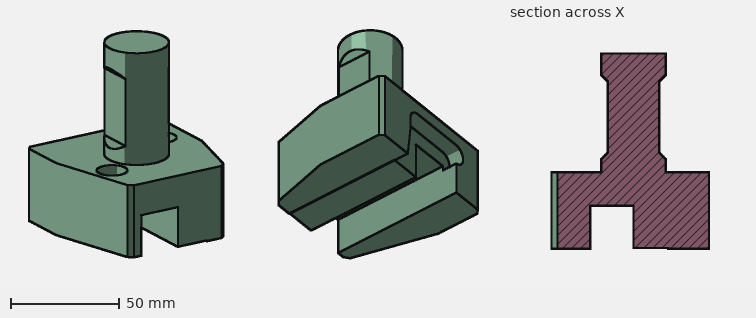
import cadquery as cq
import math

total_height = 90.5
block_height = 35.5

half_length = 35.0
back_y = 35.0
front_y = -38.0
nose_half_width = 26.0
side_taper = math.radians(15)
corner_chamfer = 2.0

stem_diameter = 30.0
flat_half_width = 12.0
flat_bottom = 44.5
flat_top = 77.5

hole_diameter = 14.2
hole_depth = 8.0
hole_circle_radius = 25.0
hole_angles = (120, 300)

channel_width = 20.0
channel_back_y = 0.0
channel_top = 20.0

recess_depth = 8.0
recess_top = 28.5
recess_back_y = 14.0
recess_front_y = -25.0
recess_radius = 5.5
recess_flare_start = 16.5
recess_flare = math.radians(7)

underside_relief = 0.4


def taper_start(side_y):
    """X where a long side at the given |Y| starts to taper towards the nose."""
    return half_length - (abs(side_y) - nose_half_width) / math.tan(side_taper)


def make_block():
    outline = [
        (-half_length, front_y),
        (taper_start(front_y), front_y),
        (half_length, -nose_half_width),
        (half_length, nose_half_width),
        (taper_start(back_y), back_y),
        (-half_length, back_y),
    ]
    block = cq.Workplane("XY").polyline(outline).close().extrude(block_height)
    end_corners = block.edges("|Z and (<X or >X)")
    return end_corners.chamfer(corner_chamfer)


def make_stem():
    stem = (
        cq.Workplane("XY", origin=(0, 0, block_height))
        .circle(stem_diameter / 2)
        .extrude(total_height - block_height)
    )
    cut_depth = stem_diameter / 2 - flat_half_width
    for side in (-1, 1):
        profile = [
            (side * flat_half_width, flat_bottom),
            (side * flat_half_width, flat_top),
            (side * (flat_half_width + cut_depth), flat_top + cut_depth),
            (side * (flat_half_width + cut_depth), flat_bottom - cut_depth),
        ]
        cutter = (
            cq.Workplane("YZ")
            .polyline(profile)
            .close()
            .extrude(stem_diameter / 2, both=True)
        )
        stem = stem.cut(cutter)
    return stem


def make_holes():
    centres = [
        (
            hole_circle_radius * math.cos(math.radians(angle)),
            hole_circle_radius * math.sin(math.radians(angle)),
        )
        for angle in hole_angles
    ]
    return (
        cq.Workplane("XY", origin=(0, 0, block_height))
        .pushPoints(centres)
        .circle(hole_diameter / 2)
        .extrude(-hole_depth)
    )


def make_channel():
    return (
        cq.Workplane("YZ", origin=(-half_length, 0, 0))
        .moveTo(channel_back_y, 0)
        .rect(-channel_width, channel_top, centered=False)
        .extrude(2 * half_length)
    )


def recess_wall_y(height):
    """Y of the leaning part of the recess back wall at a given height."""
    return recess_back_y + (recess_flare_start - height) * math.tan(recess_flare)


def make_recess():
    channel_front_y = channel_back_y - channel_width
    front_arc_y = recess_front_y + recess_radius
    back_arc_y = recess_back_y - recess_radius
    arc_z = recess_top - recess_radius
    diagonal = recess_radius * math.sqrt(0.5)
    arc_end_z = arc_z - math.sqrt(recess_radius**2 - (channel_front_y - front_arc_y) ** 2)
    return (
        cq.Workplane("YZ", origin=(-half_length, 0, 0))
        .moveTo(recess_wall_y(0), 0)
        .lineTo(recess_back_y, recess_flare_start)
        .lineTo(recess_back_y, arc_z)
        .threePointArc((back_arc_y + diagonal, arc_z + diagonal), (back_arc_y, recess_top))
        .lineTo(front_arc_y, recess_top)
        .threePointArc((recess_front_y, arc_z), (channel_front_y, arc_end_z))
        .lineTo(channel_front_y, 0)
        .close()
        .extrude(recess_depth)
    )


def make_underside_relief():
    profile = [
        (channel_back_y, 0),
        (recess_wall_y(0), 0),
        (recess_wall_y(underside_relief), underside_relief),
        (channel_back_y, underside_relief),
    ]
    return (
        cq.Workplane("YZ", origin=(-half_length, 0, 0))
        .polyline(profile)
        .close()
        .extrude(2 * half_length)
    )


result = (
    make_block()
    .cut(make_channel())
    .cut(make_recess())
    .cut(make_underside_relief())
    .cut(make_holes())
    .union(make_stem())
)